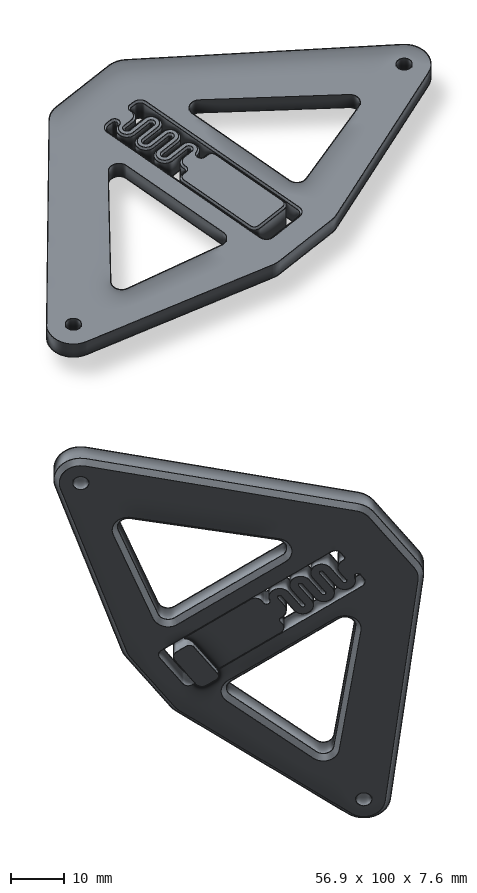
import cadquery as cq
import math

length = 100.0
width = 56.9
thickness = 4.6
bottom_chamfer = 1.0
corner_radius = 5.0
side_corner_x = width / 2 - corner_radius
side_corner_y = 7.1
tip_x = 11.4
tip_y = length / 2 - corner_radius
tip_hole_diameter = 3.0

window_radius = 2.0
window_corners = [(-8.8, 11.0), (15.9, 11.0), (10.6, 31.0)]

slot_left = -18.4
slot_right = 23.1
slot_width = 9.8
slot_corner_radius = 1.3
top_chamfer = 0.4

spring_x = -9.2
leg_pitch = 2.4
leg_width = 1.6
leg_count = 7
bend_y = 2.0
first_leg_x = spring_x - leg_pitch * (leg_count - 1) / 2
last_leg_x = spring_x + leg_pitch * (leg_count - 1) / 2
stub_outer_radius = 2.0
stub_inner_radius = 0.59

paddle_left = 2 * spring_x - slot_left
paddle_right = 19.9
paddle_width = 9.5
paddle_corner_radius = 1.5

hook_left = 15.2
hook_height = 3.0
hook_tip_radius = 1.0
hook_lip = 1.4
hook_neck_height = 0.3

pick_margin = 0.1


def rounded_hull(corners, radius, height):
    """Extrude the outline that wraps equal circles at the corners, listed counter-clockwise."""
    outline = None
    count = len(corners)
    for i, (x, y) in enumerate(corners):
        before_x, before_y = corners[i - 1]
        after_x, after_y = corners[(i + 1) % count]
        angle_in = math.atan2(y - before_y, x - before_x) - math.pi / 2
        angle_out = math.atan2(after_y - y, after_x - x) - math.pi / 2
        angle_mid = angle_in + ((angle_out - angle_in) % (2 * math.pi)) / 2
        start, middle, end = [
            (x + radius * math.cos(angle), y + radius * math.sin(angle))
            for angle in (angle_in, angle_mid, angle_out)
        ]
        if outline is None:
            outline = cq.Workplane("XY").moveTo(*start)
        else:
            outline = outline.lineTo(*start)
        outline = outline.threePointArc(middle, end)
    return outline.close().extrude(height)


def block(x_min, x_max, y_min, y_max, height=thickness):
    """A box standing on the plate's bottom plane."""
    box = cq.Workplane("XY").box(x_max - x_min, y_max - y_min, height, centered=False)
    return box.translate((x_min, y_min, 0))


def around(x_min, x_max, y_min, y_max, z_min, z_max):
    """Selector for edges whose centres lie in the box, widened by a small margin."""
    return cq.selectors.BoxSelector(
        (x_min - pick_margin, y_min - pick_margin, z_min - pick_margin),
        (x_max + pick_margin, y_max + pick_margin, z_max + pick_margin),
    )


def fillet_upright(body, points, radius):
    """Round the vertical edges that pass through the given XY points."""
    for x, y in points:
        body = body.edges(around(x, x, y, y, 0, thickness)).edges("|Z").fillet(radius)
    return body


def make_plate():
    corners = [
        (side_corner_x, -side_corner_y),
        (side_corner_x, side_corner_y),
        (tip_x, tip_y),
        (-side_corner_x, side_corner_y),
        (-side_corner_x, -side_corner_y),
        (tip_x, -tip_y),
    ]
    plate = rounded_hull(corners, corner_radius, thickness)
    window = rounded_hull(window_corners, window_radius, thickness)
    plate = plate.cut(window).cut(window.mirror("XZ")).faces("<Z").chamfer(bottom_chamfer)
    holes = cq.Workplane("XY").pushPoints([(tip_x, tip_y), (tip_x, -tip_y)]).circle(tip_hole_diameter / 2)
    return plate.cut(holes.extrude(thickness))


def make_spring():
    """Legs and half rings, with a stub at each end."""
    half_leg = leg_width / 2
    spring = block(slot_left, first_leg_x + half_leg, -bend_y, bend_y)
    spring = spring.union(block(last_leg_x - half_leg, paddle_left, -bend_y, bend_y))
    spring = fillet_upright(
        spring,
        [(first_leg_x + half_leg, bend_y), (last_leg_x - half_leg, -bend_y)],
        stub_outer_radius,
    )
    for i in range(1, leg_count - 1):
        x = first_leg_x + i * leg_pitch
        spring = spring.union(block(x - half_leg, x + half_leg, -bend_y, bend_y))
    for i in range(leg_count - 1):
        x = first_leg_x + (i + 0.5) * leg_pitch
        side = -1 if i % 2 == 0 else 1
        ring = (
            cq.Workplane("XY")
            .center(x, side * bend_y)
            .circle(leg_pitch / 2 + half_leg)
            .circle(leg_pitch / 2 - half_leg)
            .extrude(thickness)
        )
        inner_half = block(x - leg_pitch, x + leg_pitch, -bend_y, bend_y)
        spring = spring.union(ring.cut(inner_half))
    return spring


def make_slot_void():
    """The open space of the slot around the spring and the paddle."""
    half_slot = slot_width / 2
    half_paddle = paddle_width / 2
    half_leg = leg_width / 2
    slot = block(slot_left, slot_right, -half_slot, half_slot).edges("|Z").fillet(slot_corner_radius)
    paddle = block(paddle_left, paddle_right, -half_paddle, half_paddle)
    paddle = paddle.edges("|Z").fillet(paddle_corner_radius)
    void = slot.cut(paddle.union(make_spring()))
    stub_corners = [
        (slot_left, bend_y),
        (slot_left, -bend_y),
        (first_leg_x - half_leg, -bend_y),
        (paddle_left, bend_y),
        (paddle_left, -bend_y),
        (last_leg_x + half_leg, bend_y),
    ]
    return fillet_upright(void, stub_corners, stub_inner_radius)


def make_hook():
    half = paddle_width / 2
    hook = block(hook_left, paddle_right, -half, half, hook_height)
    hook = hook.edges("|Z and >X").fillet(paddle_corner_radius)
    hook = hook.edges("|Z and <X").fillet(hook_tip_radius)
    neck_x = hook_left + hook_lip
    slope_top = hook_height - hook_neck_height
    undercut = (
        cq.Workplane("XZ")
        .moveTo(hook_left, hook_height)
        .lineTo(hook_left, slope_top - hook_lip)
        .lineTo(neck_x, slope_top)
        .lineTo(neck_x, hook_height)
        .close()
        .extrude(half, both=True)
    )
    return hook.cut(undercut).translate((0, 0, -hook_height))


plate = make_plate().cut(make_slot_void())
slot_rim = around(slot_left, slot_right, -slot_width / 2, slot_width / 2, thickness, thickness)
plate = plate.edges(slot_rim).chamfer(top_chamfer)
result = plate.union(make_hook())